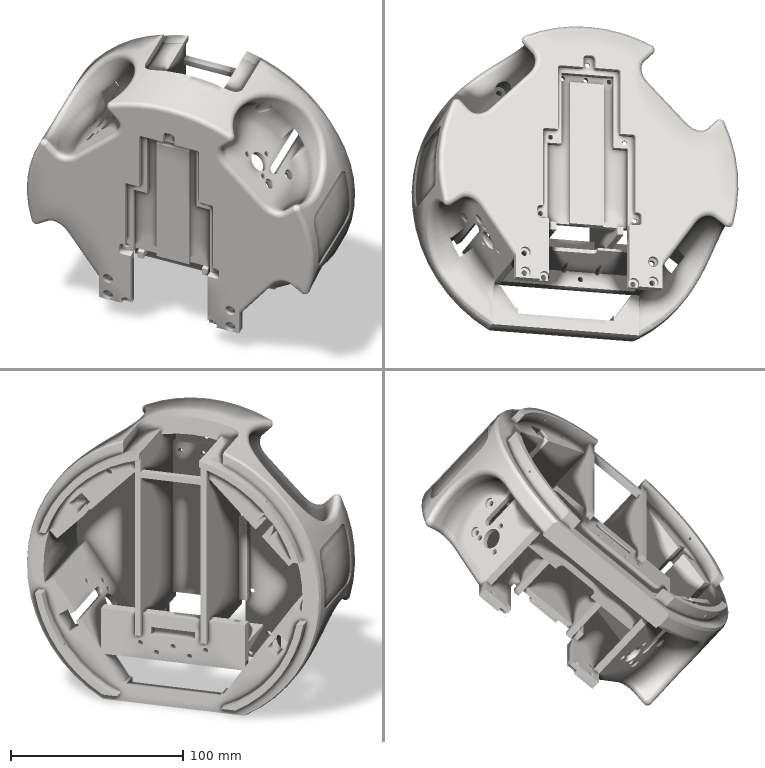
import cadquery as cq
import math


drum_radius = 89.8
drum_depth = 68.0
flat_bottom = -78.0
mouth_round = 2.7
back_bevel_radial = 0.7
back_bevel_depth = 2.2
cavity_radius = 79
cavity_bottom = -67.0
front_wall = 5.5
beyond = 215.4

upper_wheel_angle = 45
lower_wheel_angle = -35
well_radius = 33.2
well_round = 7.5
floor_distance = 66.6
floor_thickness = 3.5
axle_y = 23.2
housing_half_width = well_radius + 3.6
lower_well_run = 71.8
foot_half_width = 43.8
well_floor_bottom = -53.7

total_depth = 75.5
rim_radius = 83.0
rim_side_gap = (-14.0, 24.2)
rim_bottom = -72.3
rim_hole_diameter = 1.6

hub_diameter = 11.8
motor_circle_radius = 9.2
motor_hole_diameter = 3.2
motor_hole_count = 3
motor_first_angle = 110
mount_places = ((-12.7, -6.3), (-20.1, 11.1))
mount_head_diameter = 6.1
mount_hole_diameter = 3.2
mount_head_depth = 1.8
belt_slot_offset = -10.6
belt_slot_width = 5.4
belt_slot_end = 25.0
relief_width = 11.8

back_screw_x = 39.0
back_screw_z = 64.0
back_screw_diameter = 3.5
back_screw_head = 8.3
back_screw_seat = 60.1

opening_half_width = 24.0
opening_top = -29.6
cover_depth = 4.3
cover_top = 64.3
cover_half_width = 18.7
cover_step_z = 25.3
cover_step_half_width = 27.6
cover_corner = 1.5
ear_corner = 2.2
top_ear_half_width = 3.6
top_ear_top = 71.6
low_ear_half_width = 31.2
low_ear_top = -21.9
channel_depth = 8.3
channel_top = 61.2
channel_half_width = 15.6
channel_step_z = 18
ridge_depth = 6.0
ridge_half_width = 10.2
ridge_top = 56.5
backing_depth = 11.5
backing_margin = 2.9
cover_hole_diameter = 2.9
cover_holes = ((0, 67.0), (0, 59.0), (14.0, 59.0), (22.0, 21.4), (28.2, -25.7))

slab_front = 56.0
slab_window_half_width = 28.7
slab_window_bevel = 3.5
foot_hole_diameter = 3.2
foot_head_diameter = 6.3
foot_head_depth = 2.7
foot_holes = ((38.2, -51.2), (38.2, -63.4), (26.7, -65.2))

cross_top = -34.3
cross_thickness = 1.5
cross_root = -40.5
cross_front = 33.0
cross_notch_half_width = 13.5
cross_notch_back = 37.7
cross_notch_corner = 2.9
flange_top = -21.5
flange_bottom = -49.9
flange_front = 61
cross_hole_diameter = 3.0
cross_holes = ((-20.0, -40.2), (0, -40.2), (20.0, -40.2), (-10.0, -45.0), (10.0, -45.0))

notch_half_width = 30.5
notch_front = 33.0
notch_corner = 6.5
notch_floor_radius = 82.5
top_gap_half_width = 18.3
top_wall_thickness = 3.6
bar_z = (64.6, 68.2)
bar_y = (68.0, 72.3)

badge_length = 50.6
badge_height = 37.2
badge_center_y = 34.5
badge_center_z = 7.9
badge_corner = 6.5
badge_depth = 1.0


def block(x_range, y_range, z_range):
    """Box between the given limits."""
    size = [high - low for low, high in (x_range, y_range, z_range)]
    corner = cq.Vector(x_range[0], y_range[0], z_range[0])
    return cq.Workplane(cq.Solid.makeBox(*size, pnt=corner))


def rod(x, z, diameter, y_start, y_end):
    """Round bar along Y."""
    start = cq.Vector(x, y_start, z)
    return cq.Workplane(cq.Solid.makeCylinder(diameter / 2, y_end - y_start, start, cq.Vector(0, 1, 0)))


def disc(radius, y_start, y_end):
    return rod(0, 0, 2 * radius, y_start, y_end)


def both_sides(shape):
    """The shape together with its mirror image in the YZ plane."""
    return shape.union(shape.mirror("YZ"))


def wheel_plane(angle, distance):
    """Plane across a left-hand wheel axle: local x runs up the floor, local y along Y, normal outward."""
    turn = math.radians(angle)
    outward = cq.Vector(-math.cos(turn), 0, math.sin(turn))
    up_floor = cq.Vector(math.sin(turn), 0, math.cos(turn))
    origin = outward * distance + cq.Vector(0, axle_y, 0)
    return cq.Workplane(cq.Plane(origin, up_floor, outward))


def round_well_foot(well, base):
    """Rounds the corner between the well floor and its wall."""
    floor = cq.selectors.NearestToPointSelector(base.plane.origin.toTuple())
    return well.faces(floor).edges().fillet(well_round)


def upper_well():
    base = wheel_plane(upper_wheel_angle, floor_distance)
    return round_well_foot(base.circle(well_radius).extrude(beyond), base)


def lower_well():
    """Round at the top and running straight out through the bottom."""
    base = wheel_plane(lower_wheel_angle, floor_distance)
    well = (
        base.moveTo(0, -well_radius)
        .threePointArc((well_radius, 0), (0, well_radius))
        .lineTo(-lower_well_run, well_radius)
        .lineTo(-lower_well_run, -well_radius)
        .close()
        .extrude(beyond)
    )
    return round_well_foot(well, base)


def drum():
    """Solid drum with the rim standing on its back."""
    profile = (
        cq.Workplane("XY")
        .lineTo(drum_radius, 0)
        .lineTo(drum_radius, drum_depth - back_bevel_depth)
        .lineTo(drum_radius - back_bevel_radial, drum_depth)
        .lineTo(rim_radius, drum_depth)
        .lineTo(rim_radius, total_depth)
        .lineTo(0, total_depth)
        .close()
    )
    return profile.revolve(360, (0, 0, 0), (0, 1, 0))


def touches_well_mouth(edge, angle):
    """True when an edge runs across the curved wall of a left-hand well, outside its rounded foot."""
    mouth = wheel_plane(angle, floor_distance + well_round).plane
    samples = [mouth.toLocalCoords(edge.positionAt(step)) for step in (0.1, 0.5, 0.9)]
    on_arc = all(math.isclose(math.hypot(p.x, p.y), well_radius, abs_tol=0.09) for p in samples)
    on_run = all(p.x < 0 and math.isclose(p.y, well_radius, abs_tol=0.09) for p in samples)
    return (on_arc or on_run) and samples[1].z > 0.2


def drum_with_wells():
    """Drum with four rounded-over wells, and its lower middle left full for the feet."""
    body = drum()
    middle = body.intersect(block((-foot_half_width, foot_half_width), (0, beyond), (-beyond, 0)))
    body = body.cut(both_sides(upper_well())).cut(both_sides(lower_well()))
    edges = body.faces("<Y").edges().vals()
    for edge in body.edges().vals():
        left = edge if edge.Center().x < 0 else edge.mirror("YZ")
        if any(touches_well_mouth(left, angle) for angle in (upper_wheel_angle, lower_wheel_angle)):
            edges.append(edge)
    body = body.newObject(edges).fillet(mouth_round)
    return body.union(middle).cut(block((-beyond, beyond), (-beyond, beyond), (-beyond, flat_bottom)))


def housing(angle, low_end):
    """Room around a well that stays solid when the drum is hollowed."""
    base = wheel_plane(angle, floor_distance - floor_thickness)
    length = housing_half_width - low_end
    shape = base.center((housing_half_width + low_end) / 2, 0).rect(length, 2 * beyond).extrude(beyond)
    return shape.cut(disc(2 * beyond, drum_depth, 2 * beyond))


def cavity():
    room = disc(cavity_radius, front_wall, beyond)
    room = room.cut(both_sides(housing(upper_wheel_angle, -housing_half_width)))
    room = room.cut(both_sides(housing(lower_wheel_angle, -lower_well_run)))
    solid_bottom = block((-beyond, beyond), (0, drum_depth), (-beyond, cavity_bottom))
    return room.cut(solid_bottom)


def rim_cuts():
    """Gaps and cross holes that leave the rim in separate stretches."""
    everywhere = (-beyond, beyond)
    behind = (drum_depth, beyond)
    cuts = block(everywhere, behind, rim_side_gap).union(block(everywhere, behind, (-beyond, rim_bottom)))
    hole_y = (drum_depth + total_depth) / 2
    for angle in (upper_wheel_angle, lower_wheel_angle):
        turn = math.radians(angle)
        outward = cq.Vector(-math.cos(turn), 0, math.sin(turn))
        drill = cq.Solid.makeCylinder(rim_hole_diameter / 2, beyond, cq.Vector(0, hole_y, 0), outward)
        cuts = cuts.union(both_sides(cq.Workplane(drill)))
    return cuts


def motor_mount_cuts(angle, flip):
    """Hub, motor screws, mounting screws and belt slot of one left-hand well floor."""
    base = wheel_plane(angle, floor_distance)
    through = -2 * floor_thickness
    cuts = base.circle(hub_diameter / 2).extrude(through)
    turns = [math.radians(motor_first_angle + 360 / motor_hole_count * i) for i in range(motor_hole_count)]
    motor_places = [
        (flip * motor_circle_radius * math.sin(turn), motor_circle_radius * math.cos(turn)) for turn in turns
    ]
    cuts = cuts.union(base.pushPoints(motor_places).circle(motor_hole_diameter / 2).extrude(through))
    mounts = [(flip * along, across) for along, across in mount_places]
    cuts = cuts.union(base.pushPoints(mounts).circle(mount_hole_diameter / 2).extrude(through))
    heads = base.workplane(offset=-mount_head_depth).pushPoints(mounts)
    cuts = cuts.union(heads.circle(mount_head_diameter / 2).extrude(mount_head_depth + well_round))

    slot_x = flip * belt_slot_offset
    slot_low = belt_slot_end + belt_slot_width / 2 - axle_y
    slot_high = drum_depth - axle_y
    slot = base.center(slot_x, (slot_low + slot_high) / 2).rect(belt_slot_width, slot_high - slot_low)
    slot = slot.extrude(through)
    slot = slot.union(base.center(slot_x, slot_low).circle(belt_slot_width / 2).extrude(through))
    relief = base.center(slot_x, beyond / 2).rect(relief_width, beyond).extrude(well_round)
    return cuts.union(slot).union(relief)


def back_screw_cuts():
    drill = rod(-back_screw_x, back_screw_z, back_screw_diameter, axle_y, beyond)
    return drill.union(rod(-back_screw_x, back_screw_z, back_screw_head, axle_y, back_screw_seat))


def upright_plate(half_width, z_range, y_range, corner):
    """Plate in the XZ plane with rounded corners."""
    return block((-half_width, half_width), y_range, z_range).edges("|Y").fillet(corner)


def cover_recess():
    """Stepped recess with screw ears, and a deeper channel around a raised ridge."""
    levels = (
        (top_ear_half_width, (0, top_ear_top), ear_corner),
        (cover_half_width, (opening_top, cover_top), cover_corner),
        (cover_step_half_width, (opening_top, cover_step_z), cover_corner),
        (low_ear_half_width, (opening_top, low_ear_top), ear_corner),
    )
    recess = block((-ridge_half_width, ridge_half_width), (0, cover_depth), (opening_top, 0))
    for half_width, z_range, corner in levels:
        recess = recess.union(upright_plate(half_width, z_range, (0, cover_depth), corner))

    narrow = block((-channel_half_width, channel_half_width), (0, channel_depth), (opening_top, channel_top))
    wide = block((-opening_half_width, opening_half_width), (0, channel_depth), (opening_top, channel_step_z))
    ridge = block((-ridge_half_width, ridge_half_width), (ridge_depth, channel_depth), (opening_top, ridge_top))
    recess = recess.union(narrow).union(wide).cut(ridge)
    for x, z in cover_holes:
        recess = recess.union(both_sides(rod(x, z, cover_hole_diameter, 0, backing_depth)))
    return recess


def cover_backing():
    """Thicker front wall behind the cover recess."""
    narrow_half = channel_half_width + backing_margin
    wide_half = opening_half_width + backing_margin
    depth = (0, backing_depth)
    narrow = block((-narrow_half, narrow_half), depth, (opening_top, channel_top + backing_margin))
    return narrow.union(block((-wide_half, wide_half), depth, (opening_top, channel_step_z + backing_margin)))


def foot_cuts():
    """Clears the space between the feet, the well floors and the back slab, with the foot screws."""
    full = (-foot_half_width, foot_half_width)
    opening = (-opening_half_width, opening_half_width)
    window = (-slab_window_half_width, slab_window_half_width)
    cuts = block(full, (front_wall, slab_front), (-beyond, well_floor_bottom))
    cuts = cuts.union(block(full, (-beyond, slab_front), (-beyond, cavity_bottom)))
    cuts = cuts.union(block(opening, (-beyond, front_wall), (-beyond, opening_top)))
    cuts = cuts.union(block(window, (front_wall, beyond), (cavity_bottom, flange_bottom)))
    bevel = (
        cq.Workplane("YZ", origin=(-slab_window_half_width, 0, 0))
        .moveTo(slab_front, cavity_bottom - slab_window_bevel)
        .lineTo(drum_depth, cavity_bottom)
        .lineTo(slab_front, cavity_bottom)
        .close()
        .extrude(2 * slab_window_half_width)
    )
    cuts = cuts.union(bevel)
    for x, z in foot_holes:
        hole = rod(x, z, foot_hole_diameter, -front_wall, 2 * front_wall)
        hole = hole.union(rod(x, z, foot_head_diameter, -front_wall, foot_head_depth))
        cuts = cuts.union(both_sides(hole))
    return cuts


def cross_plate():
    """Plate between the lower wells with a sloped underside, and an upright flange along its back."""
    outline = (
        cq.Workplane("YZ", origin=(-foot_half_width, 0, 0))
        .moveTo(cross_front, cross_top)
        .lineTo(flange_front, cross_top)
        .lineTo(flange_front, flange_top)
        .lineTo(drum_depth, flange_top)
        .lineTo(drum_depth, flange_bottom)
        .lineTo(flange_front, flange_bottom)
        .lineTo(flange_front, cross_root)
        .lineTo(cross_front, cross_top - cross_thickness)
        .close()
    )
    plate = outline.extrude(2 * foot_half_width)
    notch_width = (-cross_notch_half_width, cross_notch_half_width)
    notch = block(notch_width, (0, cross_notch_back), (flange_bottom, 0)).edges("|Z and >Y")
    plate = plate.cut(notch.fillet(cross_notch_corner))
    plate = plate.cut(block(notch_width, (cross_notch_back, beyond), (cross_top, opening_top)))
    for x, z in cross_holes:
        plate = plate.cut(rod(x, z, cross_hole_diameter, 0, beyond))
    return plate


def top_walls():
    """Side walls below the top gap, joined by a bar behind the drum."""
    outer = top_gap_half_width + top_wall_thickness
    wall = block((-outer, -top_gap_half_width), (front_wall, bar_y[1]), (cross_top, drum_radius))
    wall = wall.intersect(disc(notch_floor_radius, 0, beyond))
    return both_sides(wall).union(block((-outer, outer), bar_y, bar_z))


def top_notch():
    """Shallow recess around the open gap in the top."""
    notch = block((-notch_half_width, notch_half_width), (notch_front, drum_depth), (0, beyond))
    return notch.edges("|Z and <Y").fillet(notch_corner).cut(disc(notch_floor_radius, 0, beyond))


def top_gap():
    """Opening between the top walls, in front of the bar and above it."""
    gap = (-top_gap_half_width, top_gap_half_width)
    return block(gap, (notch_front, bar_y[0]), (0, beyond)).union(
        block(gap, (notch_front, beyond), (bar_z[1], beyond))
    )


def badge():
    """Shallow recess that follows the curve of the drum."""
    frame = (
        cq.Workplane("YZ", origin=(-drum_radius, badge_center_y, badge_center_z))
        .sketch()
        .rect(badge_length, badge_height)
        .vertices()
        .fillet(badge_corner)
        .finalize()
        .extrude(drum_radius / 2)
    )
    return frame.cut(disc(drum_radius - badge_depth, 0, drum_depth))


body = drum_with_wells()
body = body.cut(top_notch()).cut(cavity()).cut(rim_cuts())
body = body.union(cover_backing()).union(top_walls()).cut(top_gap())
body = body.cut(foot_cuts()).union(cross_plate()).cut(cover_recess()).cut(both_sides(badge()))
for wheel_angle, direction in ((upper_wheel_angle, 1), (lower_wheel_angle, -1)):
    body = body.cut(both_sides(motor_mount_cuts(wheel_angle, direction)))
body = body.cut(both_sides(back_screw_cuts()))
result = body